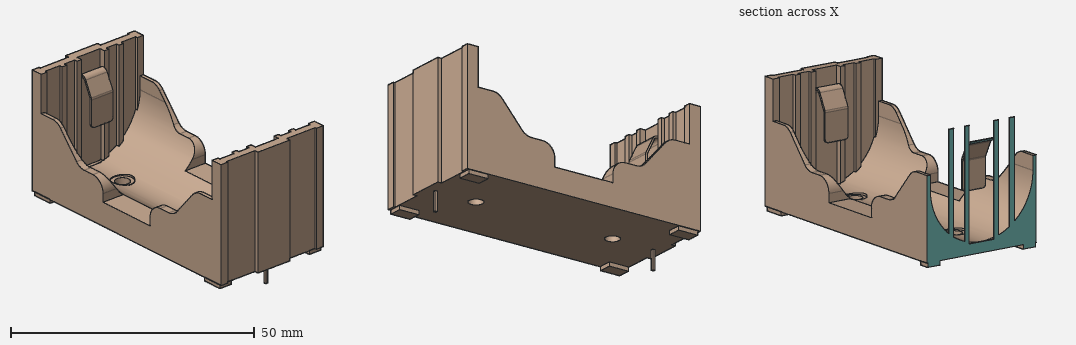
import cadquery as cq
import math


LENGTH = 60.2
WIDTH = 27.94
BODY_HEIGHT = 27.69

PAD_X = LENGTH / 2
POST_X = PAD_X - 0.55
WALL_X = PAD_X - 0.95
INNER_X = PAD_X - 2.8
POST_INNER_X = PAD_X - 3.35
RIB_X = PAD_X - 3.55
RECESS_X = PAD_X - 2.2

PAD_Y = 4.35
POST_OUTER_Y = 12.1
POST_INNER_Y = 12.3
RECESS_Y = 3.12
RIB_EDGES = ((RECESS_Y, PAD_Y), (7.1, 8.4))

CRADLE_RADIUS = 13.05
CRADLE_Z = 15.5
FLOOR_Z = CRADLE_Z - CRADLE_RADIUS

LEDGE_HIGH_Z = 18.7
LEDGE_LOW_Z = 10.7
WINDOW_Z = 5.55
WINDOW_X = 7.35
SLOPE_TOP_X = 21.65
SLOPE_ANGLE = 49.0
OUTLINE_RADIUS = 3.175

HOLE_X = 17.3
HOLE_DIAMETER = 3.3
COUNTERBORE_DIAMETER = 5.1
COUNTERBORE_Z = 2.25

FOOT_LENGTH = 4.85
FOOT_WIDTH = 3.15
FOOT_HEIGHT = 0.95
FOOT_OUTER_X = PAD_X - 1.1
FOOT_OUTER_Y = WIDTH / 2 - 0.2
PIN_SIZE = 0.6
PIN_LENGTH = 4.57

STRIP_THICKNESS = 0.45
STRIP_WIDTH = 5.85
HUMP_RADIUS = 1.3
HUMP_TOP_Z = 24.05
TONGUE_X = PAD_X - 6.5
TONGUE_BOTTOM_Z = 12.9
TONGUE_CORNER_RADIUS = 0.8
RAMP_ANGLE = 63.5
BEND_RADIUS = 1.0

SIDES = (-1, 1)
PICK_MARGIN = 0.1


def block(x0, x1, y0, y1, z0, z1):
    """Box between two opposite corners."""
    return cq.Workplane("XY").box(x1 - x0, y1 - y0, z1 - z0, centered=False).translate((x0, y0, z0))


def both_sides(shape, plane):
    """Shape joined with its mirror image."""
    return shape.union(shape.mirror(plane))


def along_y(outline, width):
    """Extrude an XZ outline symmetrically about Y = 0."""
    return outline.extrude(width / 2, both=True)


def near_edge(x, z):
    """Selector for the edges centered on the XZ position (x, z), at any Y."""
    return cq.selectors.BoxSelector(
        (x - PICK_MARGIN, -WIDTH, z - PICK_MARGIN), (x + PICK_MARGIN, WIDTH, z + PICK_MARGIN)
    )


def make_trough():
    """Side walls and floor, before the end walls are added."""
    trough = block(-WALL_X, WALL_X, -WIDTH / 2, WIDTH / 2, 0, BODY_HEIGHT)
    cradle = (
        cq.Workplane("YZ")
        .moveTo(-CRADLE_RADIUS, BODY_HEIGHT)
        .lineTo(-CRADLE_RADIUS, CRADLE_Z)
        .threePointArc((0, FLOOR_Z), (CRADLE_RADIUS, CRADLE_Z))
        .lineTo(CRADLE_RADIUS, BODY_HEIGHT)
        .close()
        .extrude(INNER_X, both=True)
    )
    return trough.cut(cradle).cut(make_side_opening())


def make_side_opening():
    """Stepped opening across both side walls, its bends rounded."""
    drop = LEDGE_HIGH_Z - LEDGE_LOW_Z
    slope_bottom_x = SLOPE_TOP_X - drop / math.tan(math.radians(SLOPE_ANGLE))
    half = [
        (WINDOW_X, WINDOW_Z),
        (WINDOW_X, LEDGE_LOW_Z),
        (slope_bottom_x, LEDGE_LOW_Z),
        (SLOPE_TOP_X, LEDGE_HIGH_Z),
        (POST_INNER_X, LEDGE_HIGH_Z),
        (POST_INNER_X, BODY_HEIGHT),
    ]
    mirrored = [(-x, z) for x, z in reversed(half)]
    opening = along_y(cq.Workplane("XZ").polyline(half + mirrored).close(), WIDTH)
    for x, z in half[1:4]:
        for side in SIDES:
            opening = opening.edges("|Y").edges(near_edge(side * x, z)).fillet(OUTLINE_RADIUS)
    return opening


def make_end_wall():
    """Right-hand end wall with its pad, corner posts and guide ribs."""
    wall = block(INNER_X, WALL_X, -WIDTH / 2, WIDTH / 2, 0, BODY_HEIGHT)
    pad = block(INNER_X, PAD_X, -PAD_Y, PAD_Y, 0, BODY_HEIGHT)
    outer_post = block(INNER_X, POST_X, POST_OUTER_Y, WIDTH / 2, 0, BODY_HEIGHT)
    inner_post = block(POST_INNER_X, WALL_X, POST_INNER_Y, WIDTH / 2, 0, BODY_HEIGHT)
    details = outer_post.union(inner_post)
    for y0, y1 in RIB_EDGES:
        details = details.union(block(RIB_X, WALL_X, y0, y1, 0, BODY_HEIGHT))
    return wall.union(pad).union(both_sides(details, "XZ"))


def make_recess():
    """Contact recess, cut down to the lowest line of the cradle."""
    return block(RIB_X, RECESS_X, -RECESS_Y, RECESS_Y, FLOOR_Z, BODY_HEIGHT)


def make_feet():
    """Two feet and the solder pin under the right-hand end."""
    foot = block(
        FOOT_OUTER_X - FOOT_LENGTH, FOOT_OUTER_X,
        FOOT_OUTER_Y - FOOT_WIDTH, FOOT_OUTER_Y,
        -FOOT_HEIGHT, 0,
    )
    pin = block(RECESS_X - PIN_SIZE, RECESS_X, -PIN_SIZE / 2, PIN_SIZE / 2, -PIN_LENGTH, 0)
    return both_sides(foot, "XZ").union(pin)


def make_contact():
    """Bent strip: back leg down the recess wall, rounded top, ramp and hanging tongue."""
    angle = math.radians(RAMP_ANGLE)
    center_x = RECESS_X - HUMP_RADIUS
    center_z = HUMP_TOP_Z - HUMP_RADIUS
    inner_radius = HUMP_RADIUS - STRIP_THICKNESS

    def on_hump(radius):
        """Point where the rounded top runs into the ramp."""
        return (center_x - radius * math.sin(angle), center_z + radius * math.cos(angle))

    def on_tongue(radius, x):
        """Point where the ramp line from the rounded top reaches a tongue face."""
        start_x, start_z = on_hump(radius)
        return (x, start_z - (start_x - x) * math.tan(angle))

    tongue_back_x = TONGUE_X + STRIP_THICKNESS
    bend_outside = on_tongue(HUMP_RADIUS, TONGUE_X)
    bend_inside = on_tongue(inner_radius, tongue_back_x)
    outline = (
        cq.Workplane("XZ")
        .moveTo(RECESS_X, FLOOR_Z)
        .lineTo(RECESS_X, center_z)
        .threePointArc((center_x, HUMP_TOP_Z), on_hump(HUMP_RADIUS))
        .lineTo(*bend_outside)
        .lineTo(TONGUE_X, TONGUE_BOTTOM_Z)
        .lineTo(tongue_back_x, TONGUE_BOTTOM_Z)
        .lineTo(*bend_inside)
        .lineTo(*on_hump(inner_radius))
        .threePointArc((center_x, center_z + inner_radius), (center_x + inner_radius, center_z))
        .lineTo(center_x + inner_radius, FLOOR_Z)
        .close()
    )
    strip = along_y(outline, STRIP_WIDTH)
    strip = strip.edges("|Y").edges(near_edge(*bend_outside)).fillet(BEND_RADIUS)
    strip = strip.edges("|Y").edges(near_edge(*bend_inside)).fillet(BEND_RADIUS - STRIP_THICKNESS)
    tongue_corners = near_edge((TONGUE_X + tongue_back_x) / 2, TONGUE_BOTTOM_Z)
    return strip.edges("|X").edges(tongue_corners).fillet(TONGUE_CORNER_RADIUS)


def make_hole_tool():
    """Through hole with a flat-seated counterbore opening into the cradle."""
    hole = cq.Workplane("XY").circle(HOLE_DIAMETER / 2).extrude(FLOOR_Z)
    seat = cq.Workplane("XY").workplane(offset=COUNTERBORE_Z).circle(COUNTERBORE_DIAMETER / 2)
    return hole.union(seat.extrude(FLOOR_Z)).translate((HOLE_X, 0, 0))


end = make_end_wall().cut(make_recess()).union(make_feet())
body = make_trough().union(both_sides(end, "YZ"))
body = body.cut(both_sides(make_recess(), "YZ")).cut(both_sides(make_hole_tool(), "YZ"))
result = body.union(both_sides(make_contact(), "YZ"))